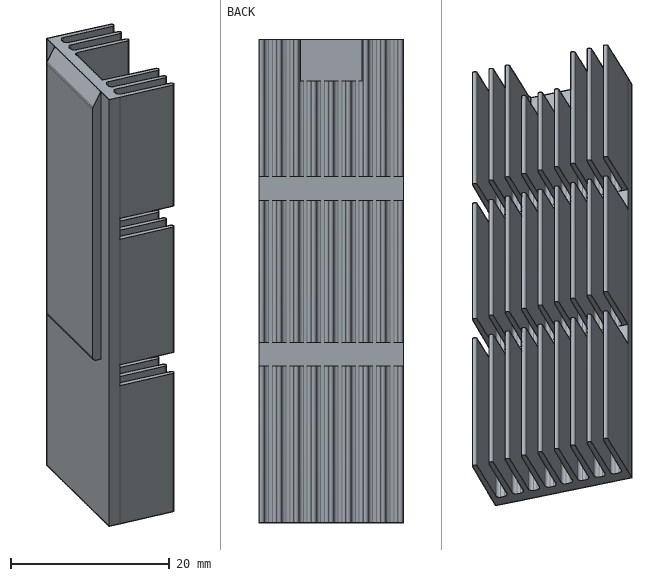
import cadquery as cq

length = 61.2
width = 18.3
base_thickness = 1.5
fin_height = 7.7
fin_back = base_thickness + fin_height

fin_count = 9
fin_root_width = 0.75
fin_tip_width = 0.6
fin_pitch = (width - fin_root_width) / (fin_count - 1)
fin_root_radius = 0.5

cross_slot_height = 3.0
cross_slot_bottoms = (19.8, 40.8)
top_notch_width = 7.8
top_notch_depth = 5.25

pad_width = 13.45
pad_length = 38.4
pad_thickness = 1.15
pad_slope_length = 2.1
pad_edge_radius = 0.5


def make_base():
    """Flat plate with its front face on Y = 0."""
    return cq.Workplane("XY").box(width, base_thickness, length, centered=(True, False, False))


def make_fin(x):
    """Full-length tapered fin with a round tip, standing on the back of the base."""
    root_half = fin_root_width / 2
    tip_half = fin_tip_width / 2
    shoulder = fin_back - tip_half
    return (
        cq.Workplane("XY")
        .moveTo(x - root_half, base_thickness)
        .lineTo(x - tip_half, shoulder)
        .threePointArc((x, fin_back), (x + tip_half, shoulder))
        .lineTo(x + root_half, base_thickness)
        .close()
        .extrude(length)
    )


def fillet_fin_roots(body):
    """Round the inner corners where the fins meet the base."""
    margin = fin_root_width / 2
    inner_half = width / 2 - margin
    inner_corners = cq.selectors.BoxSelector(
        (-inner_half, base_thickness - margin, 0),
        (inner_half, base_thickness + margin, length),
    )
    return body.edges("|Z").edges(inner_corners).fillet(fin_root_radius)


def make_fin_cut(cut_width, bottom, height):
    """Block that removes the fins down to the base, centred on X."""
    return (
        cq.Workplane("XY", origin=(0, base_thickness, bottom))
        .box(cut_width, fin_height, height, centered=(True, False, False))
    )


def make_pad():
    """Pad with a sloped top end and rounded top and bottom front edges."""
    pad_bottom = length - pad_length
    return (
        cq.Workplane("YZ", origin=(-pad_width / 2, 0, 0))
        .moveTo(0, length)
        .lineTo(-pad_thickness, length - pad_slope_length)
        .lineTo(-pad_thickness, pad_bottom)
        .lineTo(0, pad_bottom)
        .close()
        .extrude(pad_width)
        .faces("<Y")
        .edges("|X")
        .fillet(pad_edge_radius)
    )


result = make_base()
for index in range(fin_count):
    fin_x = (index - (fin_count - 1) / 2) * fin_pitch
    result = result.union(make_fin(fin_x))
result = fillet_fin_roots(result)

for slot_bottom in cross_slot_bottoms:
    result = result.cut(make_fin_cut(width, slot_bottom, cross_slot_height))
result = result.cut(make_fin_cut(top_notch_width, length - top_notch_depth, top_notch_depth))

result = result.union(make_pad())